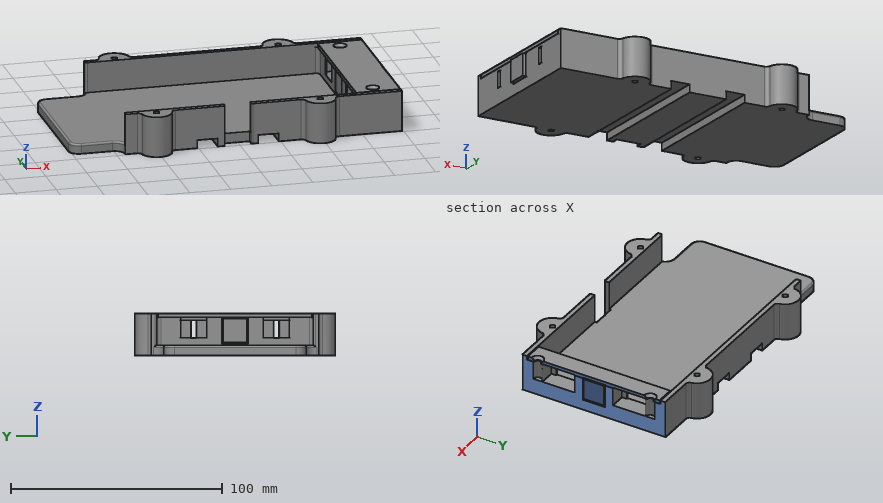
import cadquery as cq
import math

total_length = 161.5
body_height = 20.0
button_protrusion = 1.5
tab_length = 25.0
tray_end = total_length - button_protrusion

wall_outer_y = 39.5
wall_inner_y = 37.0
floor_thickness = 5.0
tab_width = 67.3
tab_half_width = tab_width / 2
tab_radius = 5.0
floor_fillet = 1.0
wall_end_radius = 1.0

lug_x_positions = (40.0, 120.0)
lug_hole_y = 40.0
lug_radius = 7.5
lug_root_fillet = 2.1
lug_hole_diameter = 2.7

strap_groove_starts = (60.0, 90.0)
strap_groove_width = 10.0
strap_groove_height = 4.0
notch_start = 73.6
notch_width = 13.0
notch_floor_bite = 1.0
notch_edge_radius = 0.5

cover_thickness = 2.0
cover_length = 21.6
cover_side_gap = 0.5
cover_overhang = 0.8
cover_bottom = body_height - cover_thickness
cover_half_width = wall_inner_y - cover_side_gap
block_front = tray_end - cover_length + cover_overhang
block_fillet = 2.0

screw_x = 148.0
screw_y = 31.2
screw_hole_diameter = 3.4
countersink_diameter = 6.3
countersink_angle = 90
screw_pilot_diameter = 4.5
screw_pilot_depth = 9.7

socket_y = 19.5
socket_floor = 8.4
socket_roof = 16.6
socket_width = 17.8
socket_front_wall = 0.8
socket_rear_wall = 2.6
socket_open_length = 9.7
window_width = 12.3
slot_width = 2.5
slot_mouth_radius = 0.5

selection_margin = 0.2

button_size = 11.3
button_bottom = 6.3
button_gap = 0.5


def block(x_start, x_end, y_centre, width, z_start, z_end):
    """Box between two X and two Z levels, centred on y_centre."""
    return (
        cq.Workplane("XY")
        .box(x_end - x_start, width, z_end - z_start, centered=(False, True, False))
        .translate((x_start, y_centre, z_start))
    )


def tray_outline():
    """Plan outline: rectangle with a narrower tab joined by round corners."""
    diagonal = tab_radius * math.sqrt(0.5)
    flare_x = tab_length - tab_radius
    flare_y = tab_half_width + tab_radius
    corner_y = tab_half_width - tab_radius
    half = (
        cq.Workplane("XY")
        .moveTo(0, 0)
        .lineTo(0, corner_y)
        .threePointArc((tab_radius - diagonal, corner_y + diagonal), (tab_radius, tab_half_width))
        .lineTo(flare_x, tab_half_width)
        .threePointArc((flare_x + diagonal, flare_y - diagonal), (tab_length, flare_y))
        .lineTo(tab_length, wall_outer_y)
        .lineTo(tray_end, wall_outer_y)
        .lineTo(tray_end, 0)
    )
    return half.mirrorX()


def make_lug(x_centre, side):
    """Round mounting lug with filleted roots against the outer wall, on the side +1 or -1 in Y."""
    fillet_y = wall_outer_y + lug_root_fillet
    centre_distance = lug_radius + lug_root_fillet
    rise = fillet_y - lug_hole_y
    root_x = math.sqrt(centre_distance ** 2 - rise ** 2)
    tangent_x = root_x * lug_radius / centre_distance
    tangent_y = lug_hole_y + rise * lug_radius / centre_distance
    lug_direction = math.atan2(-rise, -root_x) % (2 * math.pi)
    middle = (lug_direction + 1.5 * math.pi) / 2
    middle_x = root_x + lug_root_fillet * math.cos(middle)
    middle_y = fillet_y + lug_root_fillet * math.sin(middle)
    lug = (
        cq.Workplane("XY")
        .moveTo(-root_x, wall_inner_y)
        .lineTo(-root_x, wall_outer_y)
        .threePointArc((-middle_x, middle_y), (-tangent_x, tangent_y))
        .threePointArc((0, lug_hole_y + lug_radius), (tangent_x, tangent_y))
        .threePointArc((middle_x, middle_y), (root_x, wall_outer_y))
        .lineTo(root_x, wall_inner_y)
        .close()
        .extrude(body_height)
    )
    if side < 0:
        lug = lug.mirror("XZ")
    return lug.translate((x_centre, 0, 0))


def make_shell():
    """Floor with a rounded tab rim, side walls, and the raised end block."""
    tab_box = cq.selectors.BoxSelector(
        (-selection_margin, -wall_outer_y, floor_thickness - selection_margin),
        (tab_length - selection_margin, wall_outer_y, floor_thickness + selection_margin),
    )
    floor = tray_outline().extrude(floor_thickness).edges(tab_box).fillet(floor_fillet)
    interior = block(tab_length, tray_end, 0, 2 * wall_inner_y, 0, body_height)
    inner_ends = cq.selectors.BoxSelector(
        (tab_length - selection_margin, -wall_inner_y - selection_margin, 0),
        (tab_length + selection_margin, wall_inner_y + selection_margin, body_height),
    )
    walls = block(tab_length, tray_end, 0, 2 * wall_outer_y, 0, body_height).cut(interior)
    walls = walls.edges("|Z").edges(inner_ends).fillet(wall_end_radius)
    end_block = block(block_front, tray_end, 0, 2 * wall_outer_y, 0, cover_bottom)
    shell = floor.union(walls).union(end_block)
    corner_box = cq.selectors.BoxSelector(
        (block_front - selection_margin, -wall_inner_y - selection_margin, floor_thickness - selection_margin),
        (block_front + selection_margin, wall_inner_y + selection_margin, cover_bottom + selection_margin),
    )
    return shell.edges("|Z").edges(corner_box).fillet(block_fillet)


def socket_cut(y_centre):
    """Socket behind a window in the block front: open at the top, then roofed, with a slot outwards."""
    cavity_start = block_front + socket_front_wall
    open_end = cavity_start + socket_open_length
    cavity_end = tray_end - socket_rear_wall
    window = block(block_front, cavity_start, y_centre, window_width, socket_floor, cover_bottom)
    open_part = block(cavity_start, open_end, y_centre, socket_width, socket_floor, cover_bottom)
    roofed_part = block(open_end, cavity_end, y_centre, socket_width, socket_floor, socket_roof)
    slot = block(cavity_end, tray_end, y_centre, slot_width, socket_floor, socket_roof)
    return window.union(open_part).union(roofed_part).union(slot)


def round_slot_mouth(tray, y_centre):
    """Round the upright edges where the slot leaves its socket."""
    mouth_x = tray_end - socket_rear_wall
    mouth_box = cq.selectors.BoxSelector(
        (mouth_x - selection_margin, y_centre - slot_width, socket_floor),
        (mouth_x + selection_margin, y_centre + slot_width, socket_roof),
    )
    return tray.edges("|Z").edges(mouth_box).fillet(slot_mouth_radius)


def cut_wall_notch(tray):
    """Full-height notch through the -Y wall into the floor edge, with rounded outer edges."""
    notch_depth = wall_outer_y - wall_inner_y + notch_floor_bite
    notch_y = -wall_outer_y + notch_depth / 2
    notch_end = notch_start + notch_width
    tray = tray.cut(block(notch_start, notch_end, notch_y, notch_depth, 0, body_height))
    outer_edges = cq.selectors.BoxSelector(
        (notch_start - selection_margin, -wall_outer_y - selection_margin, 0),
        (notch_end + selection_margin, -wall_outer_y + selection_margin, body_height),
    )
    return tray.edges("|Z").edges(outer_edges).fillet(notch_edge_radius)


def make_tray():
    tray = make_shell()
    for side in (1, -1):
        for x_centre in lug_x_positions:
            tray = tray.union(make_lug(x_centre, side))
            lug_hole = cq.Workplane("XY").circle(lug_hole_diameter / 2).extrude(body_height)
            tray = tray.cut(lug_hole.translate((x_centre, side * lug_hole_y, 0)))
        tray = tray.cut(socket_cut(side * socket_y))
        tray = round_slot_mouth(tray, side * socket_y)
        pilot = cq.Workplane("XY").circle(screw_pilot_diameter / 2).extrude(screw_pilot_depth)
        tray = tray.cut(pilot.translate((screw_x, side * screw_y, cover_bottom - screw_pilot_depth)))

    for start in strap_groove_starts:
        end = start + strap_groove_width
        tray = tray.cut(block(start, end, 0, 2 * wall_outer_y, 0, strap_groove_height))

    tray = cut_wall_notch(tray)

    channel_width = button_size + 2 * button_gap
    channel_bottom = button_bottom - button_gap
    return tray.cut(block(block_front, tray_end, 0, channel_width, channel_bottom, cover_bottom))


def make_cover():
    cover = block(tray_end - cover_length, tray_end, 0, 2 * cover_half_width, cover_bottom, body_height)
    return (
        cover.faces(">Z")
        .workplane(origin=(0, 0, body_height))
        .pushPoints([(screw_x, screw_y), (screw_x, -screw_y)])
        .cskHole(screw_hole_diameter, countersink_diameter, countersink_angle)
    )


def make_button():
    return block(block_front, total_length, 0, button_size, button_bottom, button_bottom + button_size)


tray = make_tray()
cover = make_cover()
button = make_button()

result = cq.Compound.makeCompound([tray.val(), cover.val(), button.val()])